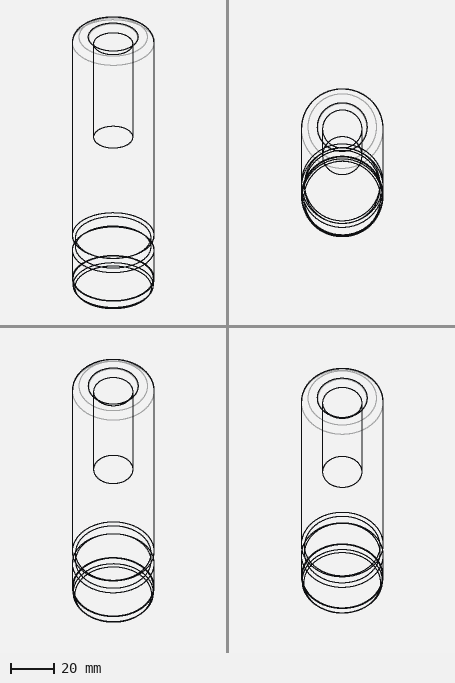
import cadquery as cq
import math

length = 140.0
body_radius = 38.0 / 2
top_fillet = 3.1

groove_bottom = 21.0
groove_top = 29.0
groove_radius = 17.5
groove_lower_bevel = 1.5
groove_upper_bevel = 1.1

pilot_height = 5.0
pilot_radius = 18.6
pilot_bevel_height = 1.3
pilot_bevel_width = 0.8

hole_radius = 9.1
rim_radius = 11.6
rim_depth = 0.3
mouth_radius = 11.3
mouth_depth = 3.8
mouth_curve_radius = 9.8
hole_depth = 56.0
drill_point_angle = 118.0


def make_body():
    """Revolve the outer profile, then round the top edge."""
    profile = (
        cq.Workplane("XZ")
        .moveTo(0, 0)
        .lineTo(pilot_radius - pilot_bevel_width, 0)
        .lineTo(pilot_radius, pilot_bevel_height)
        .lineTo(pilot_radius, pilot_height)
        .lineTo(body_radius, pilot_height)
        .lineTo(body_radius, groove_bottom)
        .lineTo(groove_radius, groove_bottom + groove_lower_bevel)
        .lineTo(groove_radius, groove_top - groove_upper_bevel)
        .lineTo(body_radius, groove_top)
        .lineTo(body_radius, length)
        .lineTo(0, length)
        .close()
    )
    return profile.revolve(360, (0, 0, 0), (0, 1, 0)).faces(">Z").edges().fillet(top_fillet)


def make_hole():
    """Revolve the drilled hole, including its mouth and conical bottom."""
    shoulder = length - hole_depth
    point_depth = hole_radius / math.tan(math.radians(drill_point_angle / 2))
    profile = (
        cq.Workplane("XZ")
        .moveTo(0, length)
        .lineTo(rim_radius, length)
        .lineTo(mouth_radius, length - rim_depth)
        .radiusArc((hole_radius, length - mouth_depth), -mouth_curve_radius)
        .lineTo(hole_radius, shoulder)
        .lineTo(0, shoulder - point_depth)
        .close()
    )
    return profile.revolve(360, (0, 0, 0), (0, 1, 0))


result = make_body().cut(make_hole())